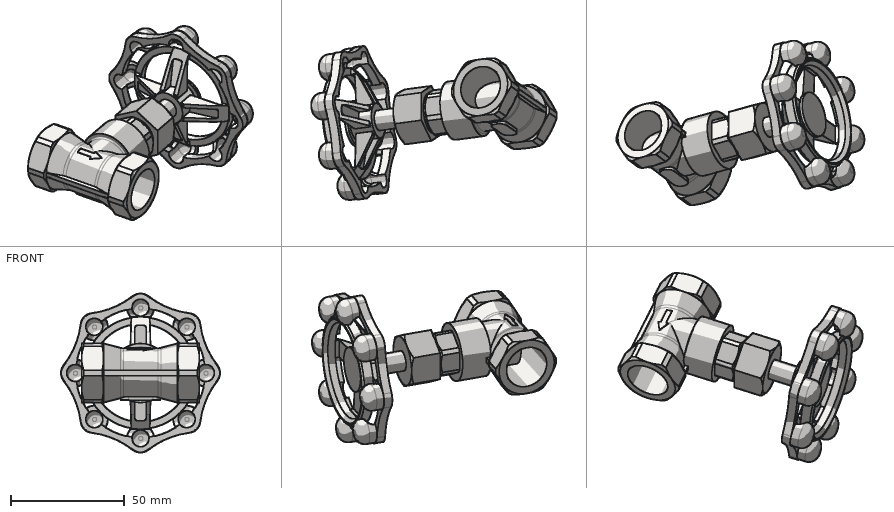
import cadquery as cq
import math


overall_length = 93.4

body_length = 51.7
bore_dia = 19.0
waist_dia = 21.9
waist_half_length = 7.5
waist_blend_length = 1.4
cone_slope = math.radians(14.8)
end_hex_flats = 26.0
end_hex_corners = 28.7
end_hex_length = 9.6
outer_chamfer_length = 0.9
inner_chamfer_length = 0.6
rib_width = 2.2
rib_bottom = 13.0
rib_top = 13.9

arrow_raise = 0.2
arrow_tail_x = -5.9
arrow_neck_x = 1.1
arrow_tip_x = 6.0
arrow_y = -2.4
arrow_shaft_width = 2.5
arrow_head_width = 4.9

pad_length = 17.6
pad_width = 6.9
pad_face_z = -12.0

chamber_dia = 20.0
plug_bottom = -3.6
chamber_wall = 1.1

housing_dia = 26.0
housing_bottom = 11.6
housing_top = 25.1
housing_fillet = 0.75
bonnet_flats = 18.8
bonnet_corners = 20.55
bonnet_top = 33.9
bonnet_chamfer_length = 0.7
neck_dia = 17.7
nut_bottom = 34.9
nut_top = 48.5
nut_flats = 22.0
nut_chamfer_length = 0.9
stem_dia = 9.0

lobe_count = 8
spoke_count = 4
wheel_radius = 34.98
lobe_radius = 5.6
valley_radius = 31.2
rim_inner_radius = 28.4
rim_bottom = 67.0
rim_top = 70.9
knob_dia = 12.0
knob_circle_radius = 28.7
knob_top = overall_length - end_hex_corners / 2
knob_fillet = 4.7
socket_dia = 7.5
socket_top = 77.1
socket_fillet = 2.8
arch_radius = 3.9
ring_outer_radius = 24.7
ring_inner_radius = 21.5
ring_bottom = 71.7
ring_top = 76.9
ring_outer_chamfer = 0.8
ring_inner_chamfer = 1.7
hub_dia = 15.5
hub_bottom = 60.3
hub_cap_dia = 20.0
hub_cap_bottom = 70.9
hub_cap_top = 72.2
spoke_root_width = 9.5
spoke_tip_width = 8.2
spoke_foot_bottom = 61.3
spoke_knee_radius = 18.2
spoke_knee_bottom = 66.9
spoke_top_at_hub = 68.7
spoke_top_at_ring = 69.9
spoke_pocket_width = 5.0
spoke_pocket_corner = 1.4
pocket_end_radius = 21.0
pocket_floor_at_hub = 65.0
pocket_floor_at_end = 68.8


def cylinder(dia, bottom, top):
    """Cylinder on the local Z axis."""
    return cq.Workplane("XY").workplane(offset=bottom).circle(dia / 2).extrude(top - bottom)


def truncated_hexagon(flats, corners, height):
    """Hexagonal prism with a corner on X, its corners cut square at a smaller width."""
    sharp_width = flats / math.cos(math.pi / 6)
    hexagon = cq.Workplane("XY").polygon(6, sharp_width).extrude(height)
    for turn in (0, 60, 120):
        slab = cq.Workplane("XY").rect(corners, 2 * sharp_width).extrude(height)
        hexagon = hexagon.intersect(slab.rotate((0, 0, 0), (0, 0, 1), turn))
    return hexagon


def turned_blank(flats, corners, height, bottom_chamfer, top_chamfer):
    """Round blank whose chamfers shrink its end faces to the width across flats."""
    face = flats / 2
    rim = corners / 2
    points = [(0, 0), (face, 0)]
    if bottom_chamfer > 0:
        points.append((rim, bottom_chamfer))
    else:
        points.append((rim, 0))
    points += [(rim, height - top_chamfer), (face, height), (0, height)]
    return cq.Workplane("XZ").polyline(points).close().revolve(360, (0, 0), (0, 1))


def chamfered_hexagon(flats, corners, height, bottom_chamfer, top_chamfer):
    blank = turned_blank(flats, corners, height, bottom_chamfer, top_chamfer)
    return truncated_hexagon(flats, corners, height).intersect(blank)


def around_axis(shape, count):
    """Repeat a shape evenly around the local Z axis."""
    copies = shape
    for index in range(1, count):
        copies = copies.union(shape.rotate((0, 0, 0), (0, 0, 1), 360 * index / count))
    return copies


def along_stem(shape):
    """Turn the local Z axis onto the stem axis, +Y."""
    return shape.rotate((0, 0, 0), (1, 0, 0), -90)


def pipe_half():
    """Right half of the turned pipe: straight waist, blend and flaring cone."""
    hex_start = body_length / 2 - end_hex_length
    waist = waist_dia / 2
    blend_end_x = waist_half_length + waist_blend_length
    blend_end_r = waist + waist_blend_length * math.tan(cone_slope / 2)
    cone_end_r = blend_end_r + (hex_start - blend_end_x) * math.tan(cone_slope)
    return (
        cq.Workplane("XY")
        .lineTo(0, waist)
        .lineTo(waist_half_length, waist)
        .tangentArcPoint((blend_end_x, blend_end_r), relative=False)
        .lineTo(hex_start, cone_end_r)
        .lineTo(hex_start, 0)
        .close()
        .revolve(360, (0, 0), (1, 0))
    )


def end_hexagon():
    """Right pipe end, its truncated corners pointing along Y."""
    hexagon = chamfered_hexagon(
        end_hex_flats, end_hex_corners, end_hex_length, inner_chamfer_length, outer_chamfer_length
    )
    upright = hexagon.rotate((0, 0, 0), (0, 0, 1), 90)
    on_x = upright.rotate((0, 0, 0), (0, 1, 0), 90)
    return on_x.translate((body_length / 2 - end_hex_length, 0, 0))


def rib():
    length = body_length - 2 * end_hex_length
    height = rib_top + rib_bottom
    return cq.Workplane("XY").box(length, height, rib_width).translate((0, (rib_top - rib_bottom) / 2, 0))


def arrow():
    """Flow arrow following the round waist."""
    shaft = arrow_shaft_width / 2
    head = arrow_head_width / 2
    outline = [
        (arrow_tail_x, arrow_y - shaft),
        (arrow_neck_x, arrow_y - shaft),
        (arrow_neck_x, arrow_y - head),
        (arrow_tip_x, arrow_y),
        (arrow_neck_x, arrow_y + head),
        (arrow_neck_x, arrow_y + shaft),
        (arrow_tail_x, arrow_y + shaft),
    ]
    prism = cq.Workplane("XY").polyline(outline).close().extrude(waist_dia)
    skin = cq.Workplane("YZ").circle(waist_dia / 2 + arrow_raise).extrude(waist_half_length, both=True)
    return prism.intersect(skin)


def pad():
    """Flat round-ended pad on the -Z side of the waist."""
    return cq.Workplane("XY").workplane(offset=pad_face_z).slot2D(pad_length, pad_width).extrude(-pad_face_z)


def housing():
    """Round bonnet seat on a branch as wide as the waist, filleted underneath."""
    branch = waist_dia / 2
    outer = housing_dia / 2
    return (
        cq.Workplane("XY")
        .lineTo(branch, 0)
        .lineTo(branch, housing_bottom - housing_fillet)
        .radiusArc((branch + housing_fillet, housing_bottom), housing_fillet)
        .lineTo(outer, housing_bottom)
        .lineTo(outer, housing_top)
        .lineTo(0, housing_top)
        .close()
        .revolve(360, (0, 0), (0, 1))
    )


def flow_passages():
    """Left bore opening into a round chamber under the plug, and a blind right bore."""
    half = body_length / 2
    right_bore = cq.Workplane("YZ").circle(bore_dia / 2).extrude(half)
    left_bore = right_bore.mirror("YZ")
    reach = end_hex_corners / 2
    chamber = along_stem(cylinder(chamber_dia, -reach, plug_bottom))
    plug = along_stem(cylinder(chamber_dia, plug_bottom, reach))
    divider = along_stem(cylinder(chamber_dia + 2 * chamber_wall, -reach, reach))
    inlet = left_bore.union(right_bore.intersect(chamber)).cut(plug)
    outlet = right_bore.cut(divider)
    return inlet, outlet


def valve_body():
    body = housing().union(rib())
    for turn in (0, 180):
        side = pipe_half().union(end_hexagon())
        body = body.union(side.rotate((0, 0, 0), (0, 1, 0), turn))
    body = body.union(arrow()).union(pad())
    for passage in flow_passages():
        body = body.cut(passage)
    return body


def bonnet_and_stem():
    bonnet = chamfered_hexagon(
        bonnet_flats, bonnet_corners, bonnet_top - housing_top, 0, bonnet_chamfer_length
    ).translate((0, 0, housing_top))
    nut_corners = nut_flats / math.cos(math.pi / 6)
    nut = chamfered_hexagon(nut_flats, nut_corners, nut_top - nut_bottom, 0, nut_chamfer_length)
    nut = nut.translate((0, 0, nut_bottom))
    hexagons = bonnet.union(nut).rotate((0, 0, 0), (0, 0, 1), 90)
    neck = cylinder(neck_dia, bonnet_top, nut_bottom)
    stem = cylinder(stem_dia, nut_top, hub_bottom)
    return hexagons.union(neck).union(stem)


def polar(radius, degrees):
    angle = math.radians(degrees)
    return (radius * math.cos(angle), radius * math.sin(angle))


def rim():
    """Wavy rim: round lobes joined by tangent hollow arcs."""
    pitch = 360 / lobe_count
    lobe_centre = wheel_radius - lobe_radius
    inset = valley_radius - lobe_radius
    hollow_centre = (lobe_centre**2 - inset**2) / (
        2 * (lobe_centre * math.cos(math.radians(pitch / 2)) - inset)
    )
    hollow_radius = hollow_centre - valley_radius
    hollow_x, hollow_y = polar(hollow_centre, pitch / 2)
    share = lobe_radius / (lobe_radius + hollow_radius)
    joint_x = lobe_centre + share * (hollow_x - lobe_centre)
    joint_y = share * hollow_y
    joint_radius = math.hypot(joint_x, joint_y)
    joint_angle = math.degrees(math.atan2(joint_y, joint_x))

    outline = cq.Workplane("XY").workplane(offset=rim_bottom).moveTo(*polar(joint_radius, -joint_angle))
    for index in range(lobe_count):
        start = index * pitch
        outline = outline.threePointArc(polar(wheel_radius, start), polar(joint_radius, start + joint_angle))
        outline = outline.threePointArc(
            polar(valley_radius, start + pitch / 2), polar(joint_radius, start + pitch - joint_angle)
        )
    disc = outline.close().extrude(rim_top - rim_bottom)
    return disc.cut(cylinder(2 * rim_inner_radius, rim_bottom, rim_top))


def knob():
    """Domed knob over the +X lobe, arched open towards the wheel's centre."""
    solid = cylinder(knob_dia, rim_top, knob_top).faces(">Z").edges().fillet(knob_fillet)
    solid = solid.translate((knob_circle_radius, 0, 0))
    crown = rim_inner_radius - arch_radius
    arch = (
        cq.Workplane("XZ")
        .moveTo(0, rim_bottom)
        .lineTo(rim_inner_radius, rim_bottom)
        .lineTo(rim_inner_radius, rim_top)
        .radiusArc((crown, rim_top + arch_radius), -arch_radius)
        .lineTo(0, rim_top + arch_radius)
        .close()
        .extrude(knob_dia, both=True)
    )
    return solid.cut(arch)


def knob_socket():
    socket = cylinder(socket_dia, rim_bottom, socket_top).faces(">Z").edges().fillet(socket_fillet)
    return socket.translate((knob_circle_radius, 0, 0))


def ring():
    profile = [
        (ring_inner_radius, ring_bottom),
        (ring_outer_radius, ring_bottom),
        (ring_outer_radius, ring_top - ring_outer_chamfer),
        (ring_outer_radius - ring_outer_chamfer, ring_top),
        (ring_inner_radius + ring_inner_chamfer, ring_top),
        (ring_inner_radius, ring_top - ring_inner_chamfer),
    ]
    return cq.Workplane("XZ").polyline(profile).close().revolve(360, (0, 0), (0, 1))


def hub():
    cap = cylinder(hub_cap_dia, hub_cap_bottom, hub_cap_top)
    return cylinder(hub_dia, hub_bottom, hub_cap_bottom).union(cap)


def spoke():
    """Spoke on +X that rises and thins outwards, turns up into the ring and is hollow below."""
    side = (
        cq.Workplane("XZ")
        .moveTo(0, spoke_foot_bottom)
        .lineTo(hub_dia / 2, spoke_foot_bottom)
        .lineTo(spoke_knee_radius, spoke_knee_bottom)
        .tangentArcPoint((ring_outer_radius, ring_bottom), relative=False)
        .lineTo(ring_inner_radius, ring_bottom)
        .lineTo(ring_inner_radius, spoke_top_at_ring)
        .lineTo(0, spoke_top_at_hub)
        .close()
        .extrude(spoke_root_width, both=True)
    )
    root = spoke_root_width / 2
    tip = spoke_tip_width / 2
    plan = [(0, -root), (ring_outer_radius, -tip), (ring_outer_radius, tip), (0, root)]
    top = cq.Workplane("XY").polyline(plan).close().extrude(ring_top)
    pocket_profile = [
        (0, spoke_foot_bottom),
        (pocket_end_radius, spoke_foot_bottom),
        (pocket_end_radius, pocket_floor_at_end),
        (0, pocket_floor_at_hub),
    ]
    pocket = cq.Workplane("XZ").polyline(pocket_profile).close()
    pocket = pocket.extrude(spoke_pocket_width / 2, both=True)
    pocket = pocket.edges("|Z and >X").fillet(spoke_pocket_corner)
    return side.intersect(top).cut(pocket)


def hand_wheel():
    frame = rim().union(around_axis(knob(), lobe_count)).union(ring())
    frame = frame.cut(around_axis(knob_socket(), lobe_count))
    return frame.union(around_axis(spoke(), spoke_count)).union(hub())


result = valve_body().union(along_stem(bonnet_and_stem().union(hand_wheel())))